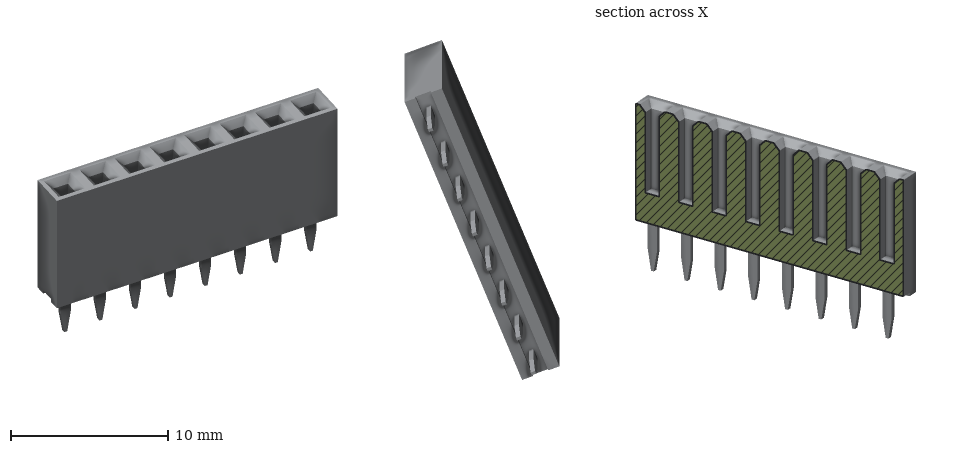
import cadquery as cq

POSITIONS = 8
PITCH = 2.55
LENGTH = POSITIONS * PITCH
WIDTH = PITCH
HOUSING_HEIGHT = 8.47

CHANNEL_WIDTH = 1.04
CHANNEL_DEPTH = 0.25

FUNNEL_MOUTH = 1.9
FUNNEL_DEPTH = 0.45
HOLE_SIDE = 1.04
SOCKET_DEPTH = 6.1

PIN_THICKNESS = 0.3
PIN_WIDTH = 0.71
PIN_TIP_WIDTH = 0.2
PIN_LENGTH_BELOW = 3.03
PIN_TAPER_LENGTH = 1.5

PIN_TIP_Z = -PIN_LENGTH_BELOW
PIN_SHOULDER_Z = PIN_TIP_Z + PIN_TAPER_LENGTH
FUNNEL_FLOOR_Z = HOUSING_HEIGHT - FUNNEL_DEPTH
SOCKET_FLOOR_Z = HOUSING_HEIGHT - SOCKET_DEPTH
PIN_TOP_Z = SOCKET_FLOOR_Z

CONTACT_YS = [(i - (POSITIONS - 1) / 2) * PITCH for i in range(POSITIONS)]


def make_socket(y):
    """Space removed for one socket: the funnel and the square hole below it."""
    funnel = (
        cq.Workplane("XY", origin=(0, y, FUNNEL_FLOOR_Z))
        .rect(HOLE_SIDE, HOLE_SIDE)
        .workplane(offset=FUNNEL_DEPTH)
        .rect(FUNNEL_MOUTH, FUNNEL_MOUTH)
        .loft(ruled=True)
    )
    hole = (
        cq.Workplane("XY", origin=(0, y, SOCKET_FLOOR_Z))
        .rect(HOLE_SIDE, HOLE_SIDE)
        .extrude(FUNNEL_FLOOR_Z - SOCKET_FLOOR_Z)
    )
    return funnel.union(hole)


def make_pin(y):
    """One flat pin, from its top at the socket floor down to its tip."""
    half_width = PIN_WIDTH / 2
    half_tip = PIN_TIP_WIDTH / 2
    outline = [
        (y - half_width, PIN_TOP_Z),
        (y - half_width, PIN_SHOULDER_Z),
        (y - half_tip, PIN_TIP_Z),
        (y + half_tip, PIN_TIP_Z),
        (y + half_width, PIN_SHOULDER_Z),
        (y + half_width, PIN_TOP_Z),
    ]
    return cq.Workplane("YZ").polyline(outline).close().extrude(PIN_THICKNESS / 2, both=True)


def make_housing(pins):
    """Block with the underside channel, the sockets and a matching slot for each pin."""
    block = cq.Workplane("XY").box(WIDTH, LENGTH, HOUSING_HEIGHT, centered=(True, True, False))
    channel = cq.Workplane("XY").box(
        CHANNEL_WIDTH, LENGTH, CHANNEL_DEPTH, centered=(True, True, False)
    )
    body = block.cut(channel)
    for y in CONTACT_YS:
        body = body.cut(make_socket(y))
    for pin in pins:
        body = body.cut(pin)
    return body


pins = [make_pin(y) for y in CONTACT_YS]
housing = make_housing(pins)

result = cq.Compound.makeCompound([housing.val(), *[pin.val() for pin in pins]])